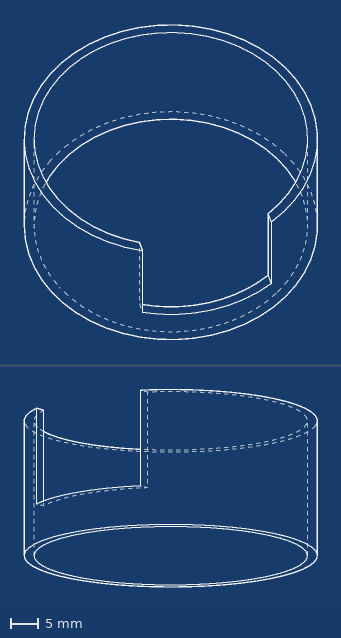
import cadquery as cq

outer_diameter = 54.0
wall = 1.85
height = 25.4

notch_width = 24.6
ledge_height = 7.4

outer_radius = outer_diameter / 2
inner_radius = outer_radius - wall


def make_ring():
    """Plain round sleeve standing on the XY plane."""
    return cq.Workplane("XY").circle(outer_radius).circle(inner_radius).extrude(height)


def make_notch():
    """Block with sides parallel to X that leaves a low ledge of wall below it."""
    notch_height = height - ledge_height
    return (
        cq.Workplane("XY", origin=(0, 0, ledge_height))
        .box(outer_radius, notch_width, notch_height, centered=(False, True, False))
    )


result = make_ring().cut(make_notch())